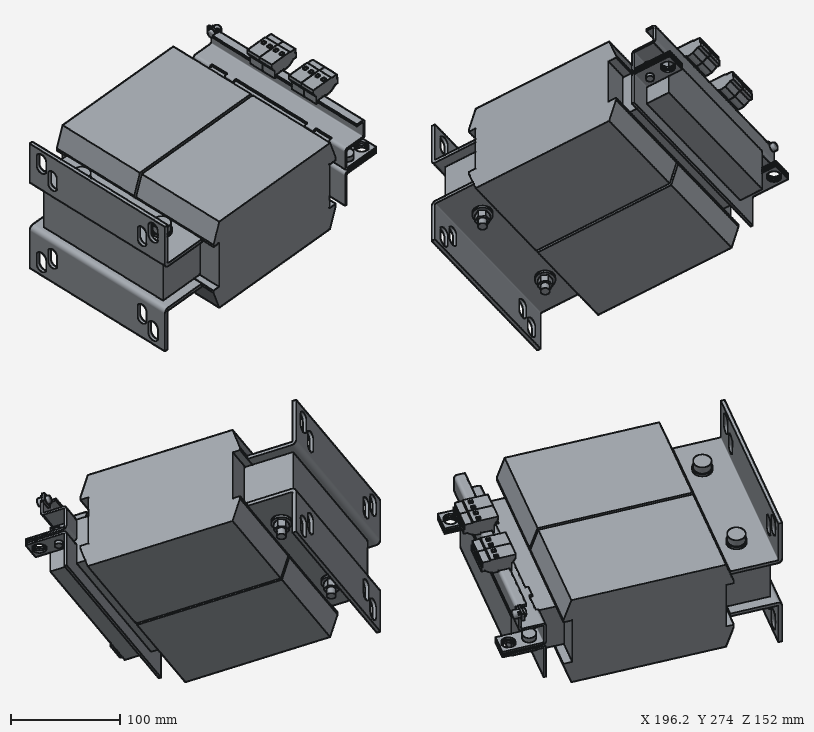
import cadquery as cq


depth = 274.0
height = 152.0

core_width = 149.5
core_height = 50.5
core_front = 8.2
core_rear = 258.0
yoke_depth = 50.1
core_half = core_height / 2

coils_width = 196.2
coil_gap = 2.5
coil_height = 105.2
coil_front = 51.0
coil_rear = 215.5
coil_chamfer_depth = 7.7
coil_shoulder_z = 29.3
coil_recess_height = 53.2
coil_recess_front = core_front + yoke_depth
coil_recess_rear = 207.0

angle_width = 169.3
angle_rear = 50.1
angle_thickness = 3.8
angle_outer_radius = 5.0
slot_length = 22.7
outer_slot = (70.0, 60.0, 11.8)
inner_slot = (56.0, 47.5, 11.0)

bolt_x = 50.1
bolt_y = 33.0
washer_diameter = 19.0
washer_height = 2.7
head_diameter = 17.0
head_height = 8.0
nut_diameter = 14.0
nut_height = 7.7
bolt_diameter = 8.5
bolt_end_z = -46.9

sheet = 2.5
inner_bend_radius = 1.0
outer_bend_radius = inner_bend_radius + sheet
rail_width = 190.2
rail_wall_y = 257.5
rail_top = 48.0
lip_front = 247.0
lip_left = -85.5
seat_front = 234.5
end_plate_front = 231.0
seat_top = core_half + sheet
ear_gap = 2.2
ear_rear = 273.2
ear_hole_diameter = 13.5
ear_hole_y = 264.0
lower_plate_bottom = -41.0
bent_tab_width = 11.0
bent_tab_radius = 2.2
ear_width = (rail_width - core_width) / 2
ear_x = (rail_width + core_width) / 4

ear_screw_y = 244.0
ear_screw_diameter = 7.5
ear_screw_head_diameter = 13.2
ear_screw_head_height = 5.8
ear_screw_end_z = -7.5

earth_x = -91.2
earth_z = 44.0
earth_diameter = 8.5
earth_front = 249.5
earth_rear = 262.0
earth_rounding = 1.6
earth_plate_width = 12.3
earth_plate_front = 252.5

terminal_pitch = 15.3
terminal_clearance = 0.3
terminal_pair_centres = (-21.0, 31.0)
terminal_top = 64.0
window_offset = 3.5
window_width = 3.0
window_depth = 3.8
window_y = 258.7
window_sink = 0.8


def block(x_range, y_range, z_range):
    """Box between the given limits."""
    size = [limits[1] - limits[0] for limits in (x_range, y_range, z_range)]
    corner = (x_range[0], y_range[0], z_range[0])
    return cq.Workplane("XY").box(*size, centered=False).translate(corner)


def centred(width, centre=0.0):
    """Limits of a span about a centre."""
    return (centre - width / 2, centre + width / 2)


def rod(x, y, z_range, diameter):
    """Upright cylinder between two heights."""
    bottom, top = z_range
    return cq.Workplane("XY", origin=(x, y, bottom)).circle(diameter / 2).extrude(top - bottom)


def rod_along_y(x, z, y_range, diameter):
    """Cylinder lying along Y."""
    front, rear = y_range
    return cq.Workplane("XZ", origin=(x, front, z)).circle(diameter / 2).extrude(front - rear)


def prism(points, x_range):
    """Closed (y, z) outline carried along X."""
    left, right = x_range
    return cq.Workplane("YZ", origin=(left, 0, 0)).polyline(points).close().extrude(right - left)


def bent_angle(x_range, y_corner, z_corner, y_end, z_end, thickness, outer_radius):
    """L-shaped sheet; the corner is the outside of the bend and the legs run to the two ends."""
    y_inner = y_corner + (thickness if y_end > y_corner else -thickness)
    z_inner = z_corner + (thickness if z_end > z_corner else -thickness)
    outline = [
        (y_corner, z_corner), (y_end, z_corner), (y_end, z_inner),
        (y_inner, z_inner), (y_inner, z_end), (y_corner, z_end),
    ]
    x_mid = sum(x_range) / 2
    angle = prism(outline, x_range)
    inner_edge = cq.selectors.NearestToPointSelector((x_mid, y_inner, z_inner))
    angle = angle.edges(inner_edge).fillet(outer_radius - thickness)
    outer_edge = cq.selectors.NearestToPointSelector((x_mid, y_corner, z_corner))
    return angle.edges(outer_edge).fillet(outer_radius)


def make_core():
    z_range = (-core_half, core_half)
    frame = block(centred(core_width), (core_front, core_rear), z_range)
    window = block(centred(coil_gap), (core_front + yoke_depth, core_rear - yoke_depth), z_range)
    return frame.cut(window)


def make_coils():
    top = coil_height / 2
    outline = [
        (coil_front, -coil_shoulder_z), (coil_front + coil_chamfer_depth, -top),
        (coil_rear - coil_chamfer_depth, -top), (coil_rear, -coil_shoulder_z),
        (coil_rear, coil_shoulder_z), (coil_rear - coil_chamfer_depth, top),
        (coil_front + coil_chamfer_depth, top), (coil_front, coil_shoulder_z),
    ]
    coils = prism(outline, centred(coils_width))
    coils = coils.cut(block(centred(coil_gap), (coil_front, coil_rear), centred(coil_height)))
    for y_range in ((coil_front, coil_recess_front), (coil_recess_rear, coil_rear)):
        coils = coils.cut(block(centred(coils_width), y_range, centred(coil_recess_height)))
    return coils


def make_mounting_angle():
    angle = bent_angle(
        centred(angle_width), 0, core_half, angle_rear, height / 2, angle_thickness, angle_outer_radius
    )
    for x, z, width in (outer_slot, inner_slot):
        slots = (
            cq.Workplane("XZ").pushPoints([(-x, z), (x, z)])
            .slot2D(slot_length, width, 90).extrude(-angle_thickness)
        )
        angle = angle.cut(slots)
    return angle


def make_clamping_bolt(x):
    seat = core_half + angle_thickness
    washer_face = seat + washer_height
    bolt = rod(x, bolt_y, (bolt_end_z, washer_face), bolt_diameter)
    bolt = bolt.union(rod(x, bolt_y, (seat, washer_face), washer_diameter))
    bolt = bolt.union(rod(x, bolt_y, (washer_face, washer_face + head_height), head_diameter))
    bolt = bolt.union(rod(x, bolt_y, (-washer_face, -seat), washer_diameter))
    nut = (
        cq.Workplane("XY", origin=(x, bolt_y, -washer_face))
        .polygon(6, nut_diameter).extrude(-nut_height)
    )
    return bolt.union(nut)


def make_rail():
    full_width = centred(rail_width)
    middle_z = (seat_top + rail_top) / 2
    rail = bent_angle(full_width, rail_wall_y, core_half, seat_front, middle_z, sheet, outer_bend_radius)
    rail = rail.union(bent_angle(
        (lip_left, rail_width / 2), rail_wall_y, rail_top, lip_front, middle_z, sheet, outer_bend_radius
    ))
    wall_y = (rail_wall_y - sheet, rail_wall_y)
    rail = rail.union(block((-rail_width / 2, lip_left), wall_y, (middle_z, rail_top)))
    for side in (-1, 1):
        tab_x = centred(bent_tab_width, side * bolt_x)
        tab = block(tab_x, (end_plate_front, seat_front), (core_half, seat_top))
        rail = rail.union(tab.edges(">Z and <Y").fillet(bent_tab_radius))
    return rail


def make_ears():
    upper_face = ear_gap / 2
    middle_z = (seat_top + upper_face) / 2
    ears = bent_angle(
        centred(rail_width), end_plate_front, -upper_face, ear_rear, lower_plate_bottom,
        sheet, outer_bend_radius
    )
    for side in (-1, 1):
        x_range = centred(ear_width, side * ear_x)
        ears = ears.union(bent_angle(
            x_range, end_plate_front, seat_top, rail_wall_y - sheet, middle_z, sheet, outer_bend_radius
        ))
        ears = ears.union(bent_angle(
            x_range, end_plate_front, upper_face, ear_rear, middle_z, sheet, outer_bend_radius
        ))
    ears = ears.cut(block(centred(core_width), (core_rear - yoke_depth, ear_rear), centred(core_height)))
    for side in (-1, 1):
        x = side * ear_x
        ears = ears.cut(rod(x, ear_hole_y, centred(core_height), ear_hole_diameter))
        head_seat = upper_face + sheet
        head_z = (head_seat, head_seat + ear_screw_head_height)
        ears = ears.union(rod(x, ear_screw_y, (ear_screw_end_z, head_seat), ear_screw_diameter))
        ears = ears.union(rod(x, ear_screw_y, head_z, ear_screw_head_diameter))
    return ears


def make_earth_screw():
    screw = rod_along_y(earth_x, earth_z, (earth_front, earth_rear), earth_diameter)
    screw = screw.faces("<Y or >Y").edges().fillet(earth_rounding)
    plate_y = (earth_plate_front, rail_wall_y - sheet)
    plate = block(centred(earth_plate_width, earth_x), plate_y, centred(earth_diameter, earth_z))
    return screw.union(plate)


def make_terminal(centre):
    lip_bottom = rail_top - sheet
    outline = [
        (240.8, terminal_top), (265.0, terminal_top), (265.8, 63.3), (271.0, 63.3), (273.0, 62.7),
        (273.0, 57.5), (depth, 57.5), (depth, 51.8), (270.5, 51.8), (265.0, 47.7), (260.8, 46.9),
        (rail_wall_y, 46.9), (rail_wall_y, rail_top), (lip_front, rail_top), (lip_front, lip_bottom),
        (250.5, lip_bottom), (250.5, 44.0), (244.7, 45.0), (244.7, 53.7), (240.8, 59.7),
    ]
    terminal = prism(outline, centred(terminal_pitch - terminal_clearance, centre))
    sunk_z = (terminal_top - window_sink, terminal_top)
    for side in (-1, 1):
        window_x = centred(window_width, centre + side * window_offset)
        terminal = terminal.cut(block(window_x, centred(window_depth, window_y), sunk_z))
    return terminal


mounting_angle = make_mounting_angle()
result = make_core().union(make_coils())
result = result.union(mounting_angle).union(mounting_angle.mirror("XY"))
for bolt_side in (-1, 1):
    result = result.union(make_clamping_bolt(bolt_side * bolt_x))
result = result.union(make_rail()).union(make_ears()).union(make_earth_screw())
for pair_centre in terminal_pair_centres:
    for pair_side in (-1, 1):
        result = result.union(make_terminal(pair_centre + pair_side * terminal_pitch / 2))